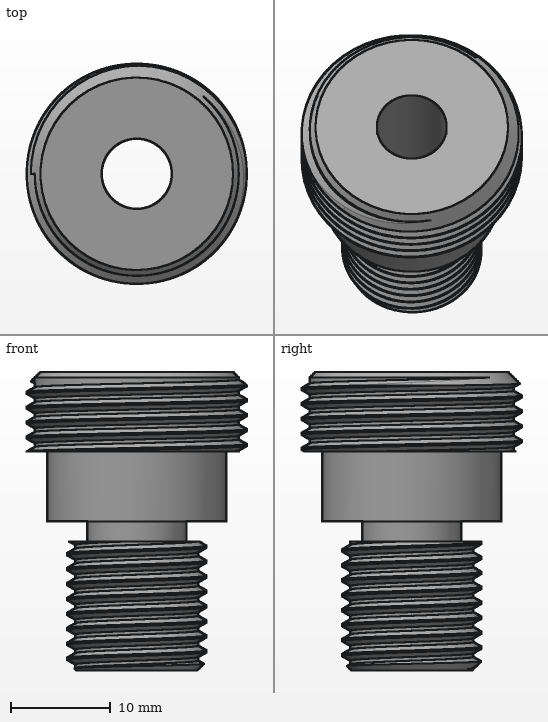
import cadquery as cq
import math

total_height = 30.0
stem_thread_top = 13.0
neck_top = 15.0
body_top = 22.0

bore_radius = 3.5
neck_radius = 10.0 / 2
body_radius = 9.0

pitch = 1.5
crest_width = pitch / 8
flank_angle = math.radians(30)
thread_depth = 5 / 8 * pitch * math.cos(flank_angle)
root_embed = 0.18

head_crest_radius = 22.1 / 2
stem_crest_radius = 14.0 / 2
head_thread_start = 21.15
head_thread_turns = 5.5
stem_thread_start = -1.05
stem_thread_turns = 10

head_face_radius = 9.65
stem_face_radius = 6.03


def cylinder(radius, bottom, top):
    return cq.Workplane("XY").workplane(offset=bottom).circle(radius).extrude(top - bottom)


def helical_tooth(crest_radius, start, turns):
    """Trapezoidal tooth swept up a helix that starts on the +X side."""
    half_crest = crest_width / 2
    tooth_height = thread_depth + root_embed
    half_base = half_crest + tooth_height * math.tan(flank_angle)
    base_radius = crest_radius - tooth_height
    path = cq.Wire.makeHelix(pitch, turns * pitch, base_radius, cq.Vector(0, 0, start))
    profile = [
        (base_radius, start - half_base),
        (crest_radius, start - half_crest),
        (crest_radius, start + half_crest),
        (base_radius, start + half_base),
    ]
    return cq.Workplane("XZ").polyline(profile).close().sweep(cq.Workplane(path), isFrenet=True)


def threaded_length(crest_radius, face_radius, plain_end, chamfer_end, start, turns):
    """Threaded rod cut square at one end and chamfered at 45 degrees at the other."""
    bottom, top = sorted((plain_end, chamfer_end))
    core = cylinder(crest_radius - thread_depth, bottom - 2 * pitch, top + 2 * pitch)
    envelope_radius = crest_radius + 0.3
    chamfer = envelope_radius - face_radius
    envelope = cylinder(envelope_radius, bottom, top)
    envelope = envelope.faces(">Z" if chamfer_end == top else "<Z").chamfer(chamfer)
    tooth = helical_tooth(crest_radius, start, turns)
    return core.union(tooth).intersect(envelope)


head = threaded_length(
    head_crest_radius, head_face_radius, body_top, total_height, head_thread_start, head_thread_turns
)
body = cylinder(body_radius, neck_top, body_top)
neck = cylinder(neck_radius, stem_thread_top, neck_top)
stem = threaded_length(
    stem_crest_radius, stem_face_radius, stem_thread_top, 0, stem_thread_start, stem_thread_turns
)
bore = cylinder(bore_radius, 0, total_height)

result = head.union(body).union(neck).union(stem).cut(bore)